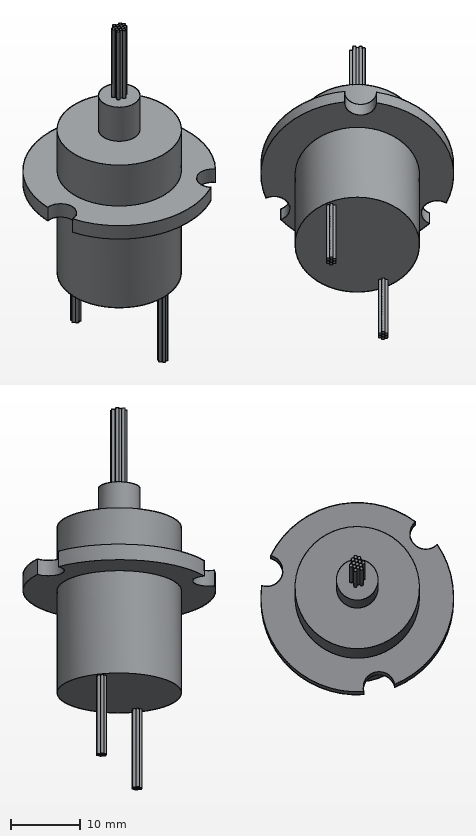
import cadquery as cq
import math

lead_length = 12.0
lower_body_height = 15.6
flange_thickness = 2.4
upper_body_height = 7.25
neck_height = 6.0

body_diameter = 18.0
flange_diameter = 27.9
neck_diameter = 6.0

notch_diameter = 4.6
notch_circle_radius = 13.65
notch_angles = (30, 150, 270)

strand_diameter = 0.5
strand_pitch = 0.525
lower_lead_offset = 8.0

body_bottom = lead_length
flange_bottom = body_bottom + lower_body_height
flange_top = flange_bottom + flange_thickness
body_top = flange_top + upper_body_height
neck_top = body_top + neck_height


def cylinder(diameter, bottom, height):
    return cq.Workplane("XY").workplane(offset=bottom).circle(diameter / 2).extrude(height)


def polar_point(radius, angle):
    return (radius * math.cos(math.radians(angle)), radius * math.sin(math.radians(angle)))


def hexagon_points(radius, first_angle):
    return [polar_point(radius, first_angle + 60 * step) for step in range(6)]


def strands(points, bottom, center_x=0):
    """Parallel wires at the given points, placed around center_x."""
    plane = cq.Workplane("XY", origin=(center_x, 0, bottom))
    return plane.pushPoints(points).circle(strand_diameter / 2).extrude(lead_length)


def flange():
    disc = cylinder(flange_diameter, flange_bottom, flange_thickness)
    for angle in notch_angles:
        notch = cylinder(notch_diameter, flange_bottom, flange_thickness)
        disc = disc.cut(notch.translate(polar_point(notch_circle_radius, angle) + (0,)))
    return disc


seven_strands = [(0, 0)] + hexagon_points(strand_pitch, 30)

outer_hollow_radius = math.sqrt(3) * strand_pitch
fourteen_strands = seven_strands + hexagon_points(outer_hollow_radius, 0) + [(0, 2 * strand_pitch)]

body = cylinder(body_diameter, body_bottom, body_top - body_bottom)
neck = cylinder(neck_diameter, body_top, neck_height)

result = body.union(flange()).union(neck).union(strands(fourteen_strands, neck_top))
for side in (-1, 1):
    result = result.union(strands(seven_strands, 0, side * lower_lead_offset))